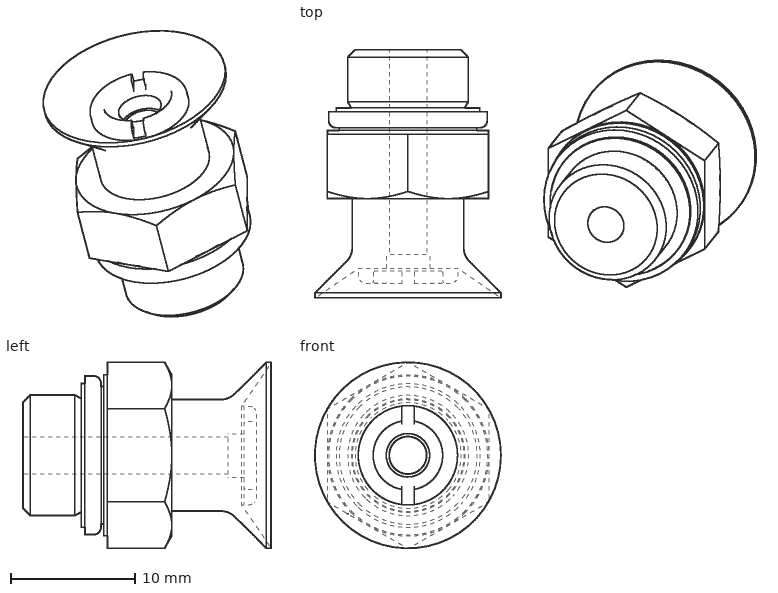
import cadquery as cq
import math

overall_length = 20.0

cup_radius = 7.5
cup_rim_width = 0.4
neck_radius = 4.5
neck_fillet = 1.6
cup_angle = math.radians(45)

hex_sides = 6
hex_start = 8.0
hex_end = 13.2
hex_across_flats = 13.0
hex_chamfer_angle = math.radians(30)
collar_radius = hex_across_flats / 2
collar_end = 13.5

groove_radius = 11.1 / 2
ring_start = 13.7
ring_end = 15.0
ring_radius = 6.4
ring_fillet = 0.6
flange_radius = 5.8
flange_end = 15.3

thread_radius = 9.73 / 2
thread_start = 15.8
undercut_radius = 4.58
thread_chamfer = 0.6

hollow_depth = 2.4
stop_radius = 4.0
stop_top = 1.2
stop_outer_fillet = 0.6
stop_bore_radius = 2.8
stop_bore_fillet = 0.2
stop_floor = 2.2
slot_width = 1.0

entry_radius = 3.5 / 2
entry_end = 3.5
passage_radius = 3.0 / 2

arc_offset = 1 - math.sqrt(0.5)


def revolve_about_y(profile):
    """Close a half profile (X = radius, Y = axial position) and spin it about the Y axis."""
    return profile.close().revolve(360, (0, 0), (0, 1))


def cylinder_along_y(radius, start, end):
    """Cylinder on the Y axis between two axial positions."""
    return revolve_about_y(
        cq.Workplane("XY").moveTo(0, start).lineTo(radius, start).lineTo(radius, end).lineTo(0, end)
    )


def make_turned_body():
    """Solid outer shape, without the hexagon and the openings."""
    fillet_center_radius = neck_radius + neck_fillet
    cone_end_radius = fillet_center_radius - neck_fillet * math.cos(cup_angle)
    cone_end = cup_rim_width + (cup_radius - cone_end_radius) / math.tan(cup_angle)
    fillet_end = cone_end + neck_fillet * math.sin(cup_angle)
    fillet_mid = (
        fillet_center_radius - neck_fillet * math.cos(cup_angle / 2),
        fillet_end - neck_fillet * math.sin(cup_angle / 2),
    )
    ring_fillet_mid = (
        ring_radius - ring_fillet * arc_offset,
        ring_start + ring_fillet * arc_offset,
    )
    profile = (
        cq.Workplane("XY")
        .lineTo(cup_radius, 0)
        .lineTo(cup_radius, cup_rim_width)
        .lineTo(cone_end_radius, cone_end)
        .threePointArc(fillet_mid, (neck_radius, fillet_end))
        .lineTo(neck_radius, hex_start)
        .lineTo(collar_radius, hex_start)
        .lineTo(collar_radius, collar_end)
        .lineTo(groove_radius, collar_end)
        .lineTo(groove_radius, ring_start)
        .lineTo(ring_radius - ring_fillet, ring_start)
        .threePointArc(ring_fillet_mid, (ring_radius, ring_start + ring_fillet))
        .lineTo(ring_radius, ring_end)
        .lineTo(flange_radius, ring_end)
        .lineTo(flange_radius, flange_end)
        .lineTo(undercut_radius, flange_end)
        .lineTo(thread_radius, thread_start)
        .lineTo(thread_radius, overall_length - thread_chamfer)
        .lineTo(thread_radius - thread_chamfer, overall_length)
        .lineTo(0, overall_length)
    )
    return revolve_about_y(profile)


def make_hexagon():
    """Hexagon with corners up and down in Z, its corners chamfered on the cup side."""
    hex_length = hex_end - hex_start
    corner_diameter = hex_across_flats / math.cos(math.pi / hex_sides)
    prism = (
        cq.Workplane("XZ", origin=(0, hex_end, 0))
        .transformed(rotate=(0, 0, 90))
        .polygon(hex_sides, corner_diameter)
        .extrude(hex_length)
    )
    cone_end_radius = collar_radius + hex_length / math.tan(hex_chamfer_angle)
    corner_cone = revolve_about_y(
        cq.Workplane("XY")
        .moveTo(0, hex_start)
        .lineTo(collar_radius, hex_start)
        .lineTo(cone_end_radius, hex_end)
        .lineTo(0, hex_end)
    )
    return prism.intersect(corner_cone)


def make_cup_hollow():
    """Conical hollow that opens at the cup rim."""
    return revolve_about_y(
        cq.Workplane("XY").lineTo(cup_radius, 0).lineTo(stop_radius, hollow_depth).lineTo(0, hollow_depth)
    )


def make_stop_ring():
    """Ring with rounded edges, split in two by a slot that runs along Z."""
    outer_mid = (stop_radius - stop_outer_fillet * arc_offset, stop_top + stop_outer_fillet * arc_offset)
    lip_mid = (stop_bore_radius + stop_bore_fillet * arc_offset, stop_top + stop_bore_fillet * arc_offset)
    floor_mid = (stop_bore_radius - stop_bore_fillet * arc_offset, stop_floor - stop_bore_fillet * arc_offset)
    ring = revolve_about_y(
        cq.Workplane("XY")
        .moveTo(0, hollow_depth)
        .lineTo(stop_radius, hollow_depth)
        .lineTo(stop_radius, stop_top + stop_outer_fillet)
        .threePointArc(outer_mid, (stop_radius - stop_outer_fillet, stop_top))
        .lineTo(stop_bore_radius + stop_bore_fillet, stop_top)
        .threePointArc(lip_mid, (stop_bore_radius, stop_top + stop_bore_fillet))
        .lineTo(stop_bore_radius, stop_floor - stop_bore_fillet)
        .threePointArc(floor_mid, (stop_bore_radius - stop_bore_fillet, stop_floor))
        .lineTo(0, stop_floor)
    )
    slot = cq.Workplane("XY").box(slot_width, 2 * stop_floor, 2 * stop_radius)
    return ring.cut(slot)


body = make_turned_body().union(make_hexagon())
body = body.cut(make_cup_hollow()).union(make_stop_ring())
body = body.cut(cylinder_along_y(entry_radius, 0, entry_end))
result = body.cut(cylinder_along_y(passage_radius, 0, overall_length))